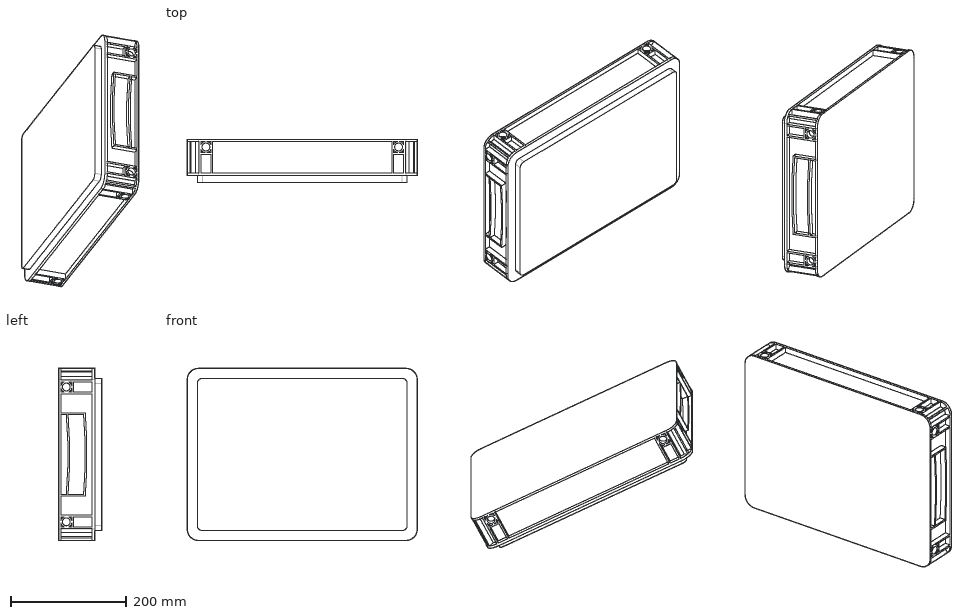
import cadquery as cq

width = 399.0
depth = 75.0
height = 299.0

panel_thickness = 12.0
panel_inset = 17.5
panel_corner_radius = 8.8
corner_radius = 20.0

rear_flange = 3.8
front_flange = 4.8
pocket_depth = 10.0
rib = 3.0

corner_pocket_length = 20.7
cell_length = 17.5
ring_cell_depth = 19.0
ring_hole_radius = 6.8

handle_half_length = 72.2
handle_bow = 2.8
grip_bar_depth = 19.0
handle_depth = 49.0

rear_y = depth / 2
body_front_y = -depth / 2 + panel_thickness
body_depth = rear_y - body_front_y
band_rear_y = rear_y - rear_flange
band_front_y = body_front_y + front_flange
band_depth = band_rear_y - band_front_y
cell_start = corner_pocket_length + rib
main_start = cell_start + cell_length + rib


def upright_plate(size_x, size_z, radius, y_front, thickness):
    """Rectangle in XZ with rounded corners, running from y_front toward +Y."""
    plate = cq.Workplane("XY").box(size_x, thickness, size_z).edges("|Y").fillet(radius)
    return plate.translate((0, y_front + thickness / 2, 0))


def wall_block(u_min, u_max, y_min, y_max):
    """Pocket-deep block under the plane of a wall; u runs along the wall."""
    block = cq.Workplane("XY").box(u_max - u_min, y_max - y_min, pocket_depth, centered=False)
    return block.translate((u_min, y_min, -pocket_depth))


def corner_cells(wall_length):
    """Ring cell and plain cell at both ends of a wall."""
    u_min = -wall_length / 2 + cell_start
    u_max = u_min + cell_length
    ring_cell_front_y = band_rear_y - ring_cell_depth
    ring_cell = wall_block(u_min, u_max, ring_cell_front_y, band_rear_y)
    ring = (
        cq.Workplane("XY", origin=(0, 0, -pocket_depth))
        .center((u_min + u_max) / 2, (ring_cell_front_y + band_rear_y) / 2)
        .circle(ring_hole_radius + rib)
        .circle(ring_hole_radius)
        .extrude(pocket_depth)
    )
    plain_cell = wall_block(u_min, u_max, band_front_y, ring_cell_front_y - rib)
    cells = ring_cell.cut(ring).union(plain_cell)
    return cells.union(cells.mirror("YZ"))


def main_pocket(wall_length):
    """Long pocket between the corner cells of a wall."""
    half = wall_length / 2 - main_start
    return wall_block(-half, half, band_front_y, band_rear_y)


def bowed_block(half_length, mid_depth):
    """Block from the rear flange to a front edge that bows forward at mid-wall."""
    mid_y = rear_y - mid_depth
    end_y = mid_y + handle_bow
    return (
        cq.Workplane("XY", origin=(0, 0, -pocket_depth))
        .moveTo(-half_length, band_rear_y)
        .lineTo(-half_length, end_y)
        .threePointArc((0, mid_y), (half_length, end_y))
        .lineTo(half_length, band_rear_y)
        .close()
        .extrude(pocket_depth)
    )


def handle_frame():
    """Bowed frame of ribs with a bowed grip bar across it."""
    inner_half_length = handle_half_length - rib
    opening = bowed_block(inner_half_length, handle_depth - rib)
    grip_bar = bowed_block(inner_half_length, grip_bar_depth).cut(
        bowed_block(inner_half_length, grip_bar_depth - rib)
    )
    return bowed_block(handle_half_length, handle_depth).cut(opening).union(grip_bar)


def corner_pocket():
    """Round-floored pocket at the +X +Z corner, split by a diagonal rib."""
    band_mid_y = (band_front_y + band_rear_y) / 2
    core = upright_plate(
        width - 2 * pocket_depth,
        height - 2 * pocket_depth,
        corner_radius - pocket_depth,
        band_front_y,
        band_depth,
    )
    corner = cq.Workplane("XY").box(corner_pocket_length, band_depth, corner_pocket_length)
    corner = corner.translate((
        (width - corner_pocket_length) / 2,
        band_mid_y,
        (height - corner_pocket_length) / 2,
    ))
    diagonal_rib = (
        cq.Workplane("XY")
        .box(4 * corner_radius, band_depth, rib)
        .rotate((0, 0, 0), (0, 1, 0), -45)
        .translate((width / 2 - corner_radius, band_mid_y, height / 2 - corner_radius))
    )
    return corner.cut(core).cut(diagonal_rib)


body = upright_plate(width, height, corner_radius, body_front_y, body_depth)
panel = upright_plate(
    width - 2 * panel_inset,
    height - 2 * panel_inset,
    panel_corner_radius,
    -depth / 2,
    panel_thickness,
)
result = body.union(panel)

long_wall = corner_cells(width).union(main_pocket(width))
top_pockets = long_wall.translate((0, 0, height / 2))
result = result.cut(top_pockets).cut(top_pockets.mirror("XY"))

short_wall = corner_cells(height).union(main_pocket(height).cut(handle_frame()))
left_pockets = short_wall.rotate((0, 0, 0), (0, 1, 0), -90).translate((-width / 2, 0, 0))
result = result.cut(left_pockets).cut(left_pockets.mirror("YZ"))

right_corner = corner_pocket()
top_corners = right_corner.union(right_corner.mirror("YZ"))
result = result.cut(top_corners).cut(top_corners.mirror("XY"))